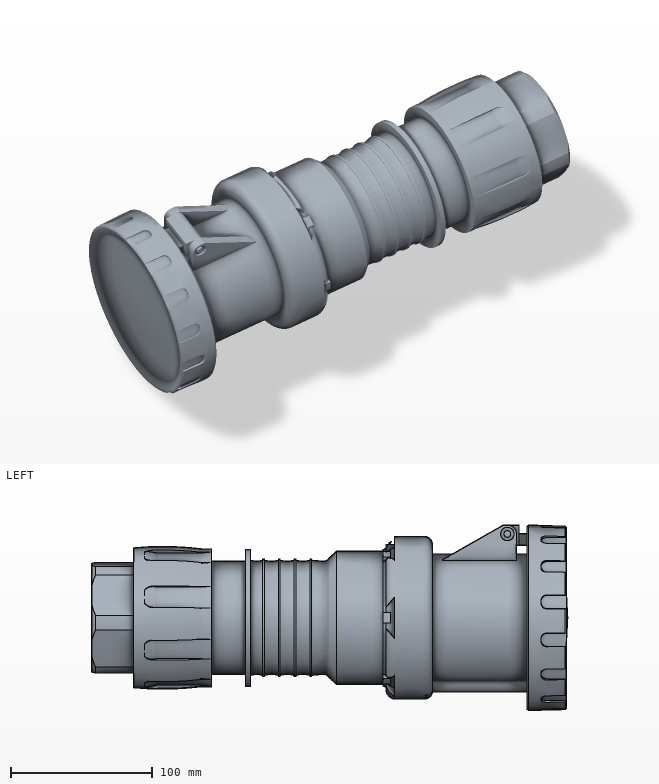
import cadquery as cq
import math

TOTAL_LENGTH = 336.0

HEX_END = 29.5
HEX_ACROSS_FLATS = 75.5
HEX_CORNER_RADIUS = 41.0
HEX_TURN = -5.0
HEX_CHAMFER = 2.7

NUT_END = 84.5
NUT_CROWN = 51.0
NUT_BAND_START = 77.2
NUT_BACK_RADIUS = 49.5
NUT_CROWN_RADIUS = 50.5
NUT_FRONT_RADIUS = 48.7
NUT_GROOVE_COUNT = 8
NUT_GROOVE_FIRST_ANGLE = 27.5
NUT_GROOVE_START = 35.5
NUT_GROOVE_RAMP_END = 46.0
NUT_GROOVE_END = 83.3
NUT_GROOVE_WIDTH = 15.8
NUT_GROOVE_FLOOR_RADIUS = 48.0

NECK_RADIUS = 40.0
FLANGE_START = 108.5
FLANGE_END = 112.2
FLANGE_RADIUS = 48.5
RIDGE_FIRST = 121.2
RIDGE_PITCH = 11.0
RIDGE_COUNT = 4
RIDGE_WIDTH = 1.5
RIDGE_RADIUS = 41.3
VALLEY_EDGE_RADIUS = 40.5
VALLEY_RADIUS = 40.0
BELLOWS_END = 163.2
FLARE_ARC_END = 167.5
FLARE_ARC_RADIUS = 42.3

SLEEVE_START = 171.5
SLEEVE_RADIUS = 47.0
SLEEVE_EDGE_CHAMFER = 1.0

COLLAR_START = 205.5
COLLAR_END = 240.5
COLLAR_RADIUS = 57.5
STEP_RADIUS = 48.0
SHOULDER_START = 207.5
SHOULDER_END = 213.5
SHOULDER_FOOT_RADIUS = 49.0
COLLAR_FRONT_ROUND = 6.0
LUG_COUNT = 6
LUG_FIRST_ANGLE = 30.0
LUG_WIDTH = 7.5
LUG_RADIUS = 51.7
LUG_LENGTH = 5.5
NOTCH_BACK_WIDTH = 10.0
NOTCH_FRONT_WIDTH = 29.0
NOTCH_FLOOR_RADIUS = 49.0
TOP_FLAT_WIDTH = 35.0
TOP_FLAT_Z = 51.7

BODY_RADIUS = 45.0
KEY_RADIUS = 52.5
KEY_WIDTH = 10.7
KEY_ROOT_FILLET = 2.0

CAP_START = 307.0
CAP_END = 335.0
CAP_BAND_END = 314.0
CAP_DIAMETER = 130.5
CAP_RADIUS = CAP_DIAMETER / 2
CAP_FRONT_RADIUS = 64.8
CAP_EDGE_CHAMFER = 1.0
RIM_INNER_RADIUS = 62.5
FACE_RADIUS = 56.8
FACE_EDGE_PLACE = 332.8
CAP_POCKET_COUNT = 15
CAP_POCKET_FIRST_ANGLE = 8.0
CAP_POCKET_START = 317.0
CAP_POCKET_WIDTH = 9.7
CAP_POCKET_DEPTH = 1.7
CAP_POCKET_ROUND = 4.0

EAR_OUTER_X = 19.8
EAR_INNER_X = 13.8
EAR_START = 247.5
EAR_END = 299.5
EAR_FOOT_Z = 41.0
EAR_PEAK = 290.0
PIN_Z = 59.0
PIN_PLACE = 293.2
PIN_RADIUS = 2.5
PIN_RECESS_RADIUS = 4.7
PIN_RECESS_DEPTH = 1.7
KNUCKLE_END = 301.5
KNUCKLE_BOTTOM_Z = 51.0
KNUCKLE_RADIUS = CAP_RADIUS - PIN_Z
LINK_WIDTH = 19.0
LINK_TOP_Z = 59.5

OVERLAP = 3.5


def spin(profile):
    """Close a profile of (radius, -place) points onto the axis and revolve it."""
    return profile.close().revolve(360, (0, 0, 0), (0, 1, 0))


def drum(start, end, radius):
    """Plain cylinder on the part axis between two axial places."""
    return cq.Workplane("XZ", origin=(0, -start, 0)).circle(radius).extrude(end - start)


def around(tool, count, first_angle):
    """Copies of a tool made at +Z, spread about the axis and turned toward -X from +Z."""
    step = 360 / count
    copies = [tool.rotate((0, 0, 0), (0, 1, 0), -(first_angle + i * step)).val() for i in range(count)]
    return cq.Workplane(cq.Compound.makeCompound(copies))


def bar(x_width, start, end, bottom, top):
    """Block centred on X = 0 between two axial places and two heights."""
    return (
        cq.Workplane("XY", origin=(0, -(start + end) / 2, bottom))
        .rect(x_width, end - start)
        .extrude(top - bottom)
    )


def side_plate(outline, x_start, x_end):
    """Extrude an outline drawn as (-place, z) along X."""
    return outline.close().extrude(x_end - x_start).translate((x_start, 0, 0))


def hex_clamp():
    """Hexagon with its corners turned down to a cylinder and chamfered at the end."""
    corner_diameter = HEX_ACROSS_FLATS / math.cos(math.radians(30))
    hexagon = (
        cq.Workplane("XZ")
        .polygon(6, corner_diameter)
        .extrude(HEX_END + OVERLAP)
        .rotate((0, 0, 0), (0, 1, 0), HEX_TURN)
    )
    turned = drum(0, HEX_END + OVERLAP, HEX_CORNER_RADIUS).faces(">Y").chamfer(HEX_CHAMFER)
    return hexagon.intersect(turned)


def gland_nut():
    """Barrel-shaped nut with round-ended grip grooves whose floors follow the nut."""
    nut = spin(
        cq.Workplane("XY")
        .moveTo(0, -HEX_END)
        .lineTo(NUT_BACK_RADIUS, -HEX_END)
        .threePointArc((NUT_CROWN_RADIUS, -NUT_CROWN), (NUT_FRONT_RADIUS, -NUT_BAND_START))
        .lineTo(NUT_FRONT_RADIUS, -NUT_END)
        .lineTo(0, -NUT_END)
    )
    half_width = NUT_GROOVE_WIDTH / 2
    plan = (
        cq.Workplane("XY")
        .moveTo(-half_width, -NUT_GROOVE_END)
        .lineTo(-half_width, -(NUT_GROOVE_START + half_width))
        .threePointArc((0, -NUT_GROOVE_START), (half_width, -(NUT_GROOVE_START + half_width)))
        .lineTo(half_width, -NUT_GROOVE_END)
        .close()
        .extrude(NUT_CROWN_RADIUS + OVERLAP)
    )
    floor = spin(
        cq.Workplane("XY")
        .moveTo(0, -HEX_END)
        .lineTo(NUT_CROWN_RADIUS, -HEX_END)
        .lineTo(NUT_CROWN_RADIUS, -NUT_GROOVE_START)
        .lineTo(NUT_GROOVE_FLOOR_RADIUS, -NUT_GROOVE_RAMP_END)
        .lineTo(NUT_GROOVE_FLOOR_RADIUS, -NUT_BAND_START)
        .lineTo(NUT_FRONT_RADIUS, -NUT_GROOVE_END)
        .lineTo(0, -NUT_GROOVE_END)
    )
    tool = plan.cut(floor)
    return nut.cut(around(tool, NUT_GROOVE_COUNT, NUT_GROOVE_FIRST_ANGLE))


def bellows_and_sleeve():
    """Neck, flange, scalloped bellows, flare and sleeve as one turned piece."""
    profile = (
        cq.Workplane("XY")
        .moveTo(0, -NUT_END + OVERLAP)
        .lineTo(NECK_RADIUS, -NUT_END + OVERLAP)
        .lineTo(NECK_RADIUS, -FLANGE_START)
        .lineTo(FLANGE_RADIUS, -FLANGE_START)
        .lineTo(FLANGE_RADIUS, -FLANGE_END)
        .lineTo(VALLEY_EDGE_RADIUS, -FLANGE_END)
    )
    valley_start = FLANGE_END
    for i in range(RIDGE_COUNT):
        ridge_start = RIDGE_FIRST + i * RIDGE_PITCH - RIDGE_WIDTH / 2
        ridge_end = ridge_start + RIDGE_WIDTH
        middle = (valley_start + ridge_start) / 2
        profile = (
            profile.threePointArc((VALLEY_RADIUS, -middle), (VALLEY_EDGE_RADIUS, -ridge_start))
            .lineTo(RIDGE_RADIUS, -ridge_start)
            .lineTo(RIDGE_RADIUS, -ridge_end)
            .lineTo(VALLEY_EDGE_RADIUS, -ridge_end)
        )
        valley_start = ridge_end
    flare_end_radius = SLEEVE_RADIUS - SLEEVE_EDGE_CHAMFER
    return spin(
        profile.lineTo(NECK_RADIUS, -BELLOWS_END)
        .tangentArcPoint((FLARE_ARC_RADIUS, -FLARE_ARC_END), relative=False)
        .lineTo(flare_end_radius, -SLEEVE_START)
        .lineTo(SLEEVE_RADIUS, -(SLEEVE_START + SLEEVE_EDGE_CHAMFER))
        .lineTo(SLEEVE_RADIUS, -(COLLAR_START + OVERLAP))
        .lineTo(0, -(COLLAR_START + OVERLAP))
    )


def collar():
    """Ring with a stepped, rounded shoulder that carries notched lugs and a flat on top."""
    bulge = math.sqrt(0.5)
    shoulder_rise = COLLAR_RADIUS - SHOULDER_FOOT_RADIUS
    shoulder_middle = (
        SHOULDER_FOOT_RADIUS + shoulder_rise * bulge,
        -(SHOULDER_END - (SHOULDER_END - SHOULDER_START) * bulge),
    )
    ring = spin(
        cq.Workplane("XY")
        .moveTo(0, -COLLAR_START)
        .lineTo(STEP_RADIUS, -COLLAR_START)
        .lineTo(SHOULDER_FOOT_RADIUS, -SHOULDER_START)
        .threePointArc(shoulder_middle, (COLLAR_RADIUS, -SHOULDER_END))
        .lineTo(COLLAR_RADIUS, -COLLAR_END)
        .lineTo(0, -COLLAR_END)
    )
    ring = ring.faces("<Y").edges().fillet(COLLAR_FRONT_ROUND)
    notch = (
        cq.Workplane("XY", origin=(0, 0, NOTCH_FLOOR_RADIUS))
        .polyline([
            (-NOTCH_BACK_WIDTH / 2, -COLLAR_START),
            (NOTCH_BACK_WIDTH / 2, -COLLAR_START),
            (NOTCH_FRONT_WIDTH / 2, -SHOULDER_END),
            (-NOTCH_FRONT_WIDTH / 2, -SHOULDER_END),
        ])
        .close()
        .extrude(COLLAR_RADIUS - NOTCH_FLOOR_RADIUS)
    )
    lug = bar(LUG_WIDTH, COLLAR_START, COLLAR_START + LUG_LENGTH, SLEEVE_RADIUS - OVERLAP, LUG_RADIUS)
    top_flat = bar(TOP_FLAT_WIDTH, COLLAR_START, SHOULDER_END, TOP_FLAT_Z, COLLAR_RADIUS + OVERLAP)
    notched = ring.cut(top_flat).cut(around(notch, LUG_COUNT, LUG_FIRST_ANGLE))
    return notched.union(around(lug, LUG_COUNT, LUG_FIRST_ANGLE))


def socket_body():
    """Cylinder with a round-nosed key along its underside, blended in at the root."""
    start = COLLAR_END - OVERLAP
    end = CAP_START + OVERLAP
    nose_radius = KEY_WIDTH / 2
    nose_height = nose_radius - KEY_RADIUS
    nose = drum(start, end, nose_radius).translate((0, 0, nose_height))
    key = bar(KEY_WIDTH, start, end, nose_height, 0).union(nose)
    body = drum(start, end, BODY_RADIUS).union(key)
    root_z = -math.sqrt(BODY_RADIUS**2 - nose_radius**2)
    for side in (-1, 1):
        root = cq.selectors.NearestToPointSelector((side * nose_radius, -(start + end) / 2, root_z))
        body = body.edges("|Y").edges(root).fillet(KEY_ROOT_FILLET)
    return body


def screw_cap():
    """Cap with a dished rim, a shallow conical face and grip pockets round its edge."""
    cap = spin(
        cq.Workplane("XY")
        .moveTo(0, -CAP_START)
        .lineTo(CAP_RADIUS - CAP_EDGE_CHAMFER, -CAP_START)
        .lineTo(CAP_RADIUS, -(CAP_START + CAP_EDGE_CHAMFER))
        .lineTo(CAP_RADIUS, -CAP_BAND_END)
        .lineTo(CAP_FRONT_RADIUS, -(CAP_END - CAP_EDGE_CHAMFER))
        .lineTo(CAP_FRONT_RADIUS - CAP_EDGE_CHAMFER, -CAP_END)
        .lineTo(RIM_INNER_RADIUS, -CAP_END)
        .lineTo(FACE_RADIUS, -FACE_EDGE_PLACE)
        .lineTo(0, -TOTAL_LENGTH)
    )
    pocket = (
        bar(CAP_POCKET_WIDTH, CAP_POCKET_START, CAP_END, CAP_RADIUS - CAP_POCKET_DEPTH, CAP_RADIUS + OVERLAP)
        .edges("|Z and >Y")
        .fillet(CAP_POCKET_ROUND)
    )
    return cap.cut(around(pocket, CAP_POCKET_COUNT, CAP_POCKET_FIRST_ANGLE))


def hinge_ear():
    """Triangular ear on the -X side with a ring recess round the pin."""
    round_start = EAR_END - KNUCKLE_RADIUS
    bulge = KNUCKLE_RADIUS * math.sqrt(0.5)
    outline = (
        cq.Workplane("YZ")
        .moveTo(-EAR_START, EAR_FOOT_Z)
        .lineTo(-EAR_PEAK, CAP_RADIUS)
        .lineTo(-round_start, CAP_RADIUS)
        .threePointArc((-(round_start + bulge), PIN_Z + bulge), (-EAR_END, PIN_Z))
        .lineTo(-EAR_END, EAR_FOOT_Z - OVERLAP)
        .lineTo(-EAR_START, EAR_FOOT_Z - OVERLAP)
    )
    recess = (
        cq.Workplane("YZ", origin=(-EAR_OUTER_X, -PIN_PLACE, PIN_Z))
        .circle(PIN_RECESS_RADIUS)
        .circle(PIN_RADIUS)
        .extrude(PIN_RECESS_DEPTH)
    )
    return side_plate(outline, -EAR_OUTER_X, -EAR_INNER_X).cut(recess)


def hinge_knuckle():
    """Rounded block between the ears and the link that joins it to the cap."""
    outline = (
        cq.Workplane("YZ")
        .moveTo(-KNUCKLE_END, CAP_RADIUS)
        .lineTo(-PIN_PLACE, CAP_RADIUS)
        .threePointArc((-(PIN_PLACE - KNUCKLE_RADIUS), PIN_Z), (-PIN_PLACE, PIN_Z - KNUCKLE_RADIUS))
        .lineTo(-KNUCKLE_END, KNUCKLE_BOTTOM_Z)
    )
    link = bar(LINK_WIDTH, PIN_PLACE, CAP_START + OVERLAP, KNUCKLE_BOTTOM_Z, LINK_TOP_Z)
    return side_plate(outline, -EAR_INNER_X, EAR_INNER_X).union(link)


ear = hinge_ear()

result = (
    hex_clamp()
    .union(gland_nut())
    .union(bellows_and_sleeve())
    .union(collar())
    .union(socket_body())
    .union(screw_cap())
    .union(ear)
    .union(ear.mirror("YZ"))
    .union(hinge_knuckle())
)